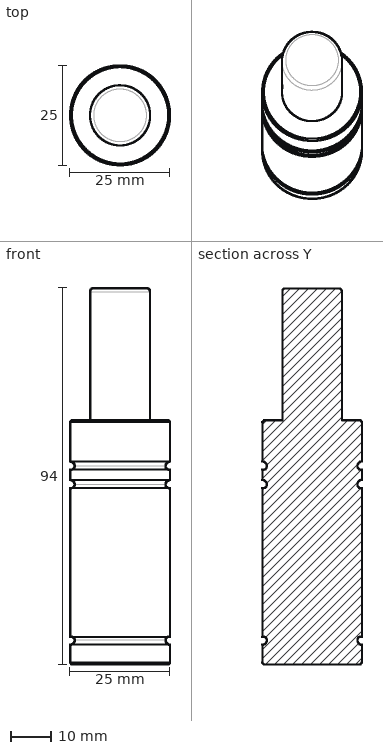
import cadquery as cq

total_height = 94.0
body_height = 61.0
body_radius = 12.5
rod_radius = 7.5

body_chamfer = 0.5
rod_fillet = 0.9

groove_depth = 1.1
shoulder_side_radius = 0.8
upper_groove_shoulders = (44.1, 48.7)
lower_groove_shoulder = 7.0


def make_body():
    """Cylinder with small chamfers on both end rims."""
    body = cq.Workplane("XY").circle(body_radius).extrude(body_height)
    return body.faces("<Z or >Z").edges().chamfer(body_chamfer)


def make_rod():
    """Piston rod with a rounded top, running down to the base of the body."""
    rod = cq.Workplane("XY").circle(rod_radius).extrude(total_height)
    return rod.faces(">Z").edges().fillet(rod_fillet)


def make_groove_cutter(shoulder_z, direction):
    """Ring with its flat shoulder at shoulder_z and its round lip along direction (+1 or -1)."""
    root_r = body_radius - groove_depth
    root_z = shoulder_z + direction * shoulder_side_radius
    lip_z = root_z + direction * groove_depth
    shoulder_edge_r = root_r + shoulder_side_radius
    return (
        cq.Workplane("XZ")
        .moveTo(body_radius, shoulder_z)
        .lineTo(shoulder_edge_r, shoulder_z)
        .tangentArcPoint((root_r, root_z), relative=False)
        .tangentArcPoint((body_radius, lip_z), relative=False)
        .close()
        .revolve(360, (0, 0, 0), (0, 1, 0))
    )


result = make_body().union(make_rod())
for shoulder_z in upper_groove_shoulders:
    result = result.cut(make_groove_cutter(shoulder_z, 1))
result = result.cut(make_groove_cutter(lower_groove_shoulder, -1))